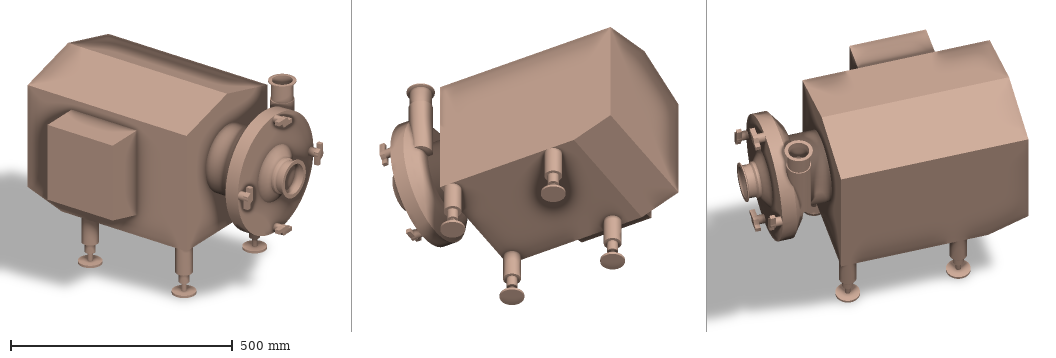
import cadquery as cq
import math


COVER_LENGTH = 440.0
COVER_WIDTH = 314.5
COVER_BOTTOM = 118.0
EAVES_HEIGHT = 410.0
RIDGE_HEIGHT = 451.5
REAR_CUT_LENGTH = 94.5
REAR_CUT_TOP = 152.5

BOX_START = 122.0
BOX_LENGTH = 180.0
BOX_DEPTH = 94.0
BOX_TOP = 383.5
BOX_FRONT_BOTTOM = 194.5
BOX_BACK_BOTTOM = 170.0

LEG_DIAMETER = 40.0
LEG_STEPS = [(55.5, 0), (12.0, 5.5), (25.0, 28.0), (LEG_DIAMETER, 52.5)]
REAR_LEG_X = 159.0
LEG_SPACING = 259.5

SHAFT_HEIGHT = 290.0
HOUSING_DIAMETER = 166.0
CASING_DIAMETER = 294.0
CASING_START = 512.0
CASING_RIM_START = 540.5
CASING_END = 574.0
CASING_BACK_RADIUS = 110.0
CASING_BLEND = 28.0
COVER_CONE_RADIUS = 68.0
COLLAR_DIAMETER = 84.5
COLLAR_START = 592.0
COLLAR_BEVEL_START = 598.5
COLLAR_END = 602.5

SUCTION_DIAMETER = 76.0
SUCTION_BORE = 72.5
SUCTION_FLANGE = 91.0
SUCTION_END = 625.5

DISCHARGE_X = 522.0
DISCHARGE_Y = 99.0
NOZZLE_DIAMETER = 55.0
NOZZLE_TOP = 423.5
DISCHARGE_DIAMETER = 50.5
DISCHARGE_BORE = 47.5
DISCHARGE_FLANGE = 64.0
DISCHARGE_TOP = 470.0

FLANGE_RIM = 2.5
FLANGE_TAPER = 2.5

STUD_COUNT = 4
STUD_CIRCLE_RADIUS = 136.5
STUD_DIAMETER = 21.0
STUD_LENGTH = 15.5
NUT_WIDTH = 12.0
WING_SPAN = 50.0
WING_THICKNESS = 10.0
ROOT_INNER_OVERLAP = 13.0
ROOT_OUTER_OVERLAP = 7.0


def make_motor_cover():
    profile = [
        (-COVER_WIDTH / 2, COVER_BOTTOM),
        (COVER_WIDTH / 2, COVER_BOTTOM),
        (COVER_WIDTH / 2, EAVES_HEIGHT),
        (0, RIDGE_HEIGHT),
        (-COVER_WIDTH / 2, EAVES_HEIGHT),
    ]
    cover = cq.Workplane("YZ").polyline(profile).close().extrude(COVER_LENGTH)
    rear_cut = (
        cq.Workplane("XZ")
        .polyline([(0, COVER_BOTTOM), (REAR_CUT_LENGTH, COVER_BOTTOM), (0, REAR_CUT_TOP)])
        .close()
        .extrude(COVER_WIDTH / 2, both=True)
    )
    return cover.cut(rear_cut)


def make_control_box():
    back = -COVER_WIDTH / 2
    front = back - BOX_DEPTH
    profile = [
        (back, BOX_BACK_BOTTOM),
        (front, BOX_FRONT_BOTTOM),
        (front, BOX_TOP),
        (back, BOX_TOP),
    ]
    return (
        cq.Workplane("YZ", origin=(BOX_START, 0, 0))
        .polyline(profile)
        .close()
        .extrude(BOX_LENGTH)
    )


def make_leg(x, y):
    leg = cq.Workplane("XY")
    tops = [bottom for _, bottom in LEG_STEPS[1:]] + [COVER_BOTTOM]
    for (diameter, bottom), top in zip(LEG_STEPS, tops):
        step = cq.Workplane("XY", origin=(x, y, bottom)).circle(diameter / 2).extrude(top - bottom)
        leg = leg.union(step)
    return leg


def make_pump_body():
    casing_radius = CASING_DIAMETER / 2
    slope_run = casing_radius - CASING_BACK_RADIUS
    slope_rise = CASING_RIM_START - CASING_START
    slope_length = math.hypot(slope_run, slope_rise)
    slope_angle = math.atan2(slope_rise, slope_run)
    tangent = CASING_BLEND * math.tan(slope_angle / 2)
    blend_start = (CASING_START, CASING_BACK_RADIUS - tangent)
    blend_end = (
        CASING_START + tangent * slope_rise / slope_length,
        CASING_BACK_RADIUS + tangent * slope_run / slope_length,
    )
    profile = (
        cq.Workplane("XY")
        .moveTo(COVER_LENGTH, 0)
        .lineTo(COVER_LENGTH, HOUSING_DIAMETER / 2)
        .lineTo(CASING_START, HOUSING_DIAMETER / 2)
        .lineTo(*blend_start)
        .tangentArcPoint(blend_end, relative=False)
        .lineTo(CASING_RIM_START, casing_radius)
        .lineTo(CASING_END, casing_radius)
        .lineTo(CASING_END, COVER_CONE_RADIUS)
        .lineTo(COLLAR_START, COLLAR_DIAMETER / 2)
        .lineTo(COLLAR_BEVEL_START, COLLAR_DIAMETER / 2)
        .lineTo(COLLAR_END, SUCTION_DIAMETER / 2)
        .lineTo(COLLAR_END, 0)
        .close()
    )
    return profile.revolve(360, (0, 0, 0), (1, 0, 0)).translate((0, 0, SHAFT_HEIGHT))


def make_flanged_pipe(length, diameter, bore, flange_diameter):
    """Open pipe along +Z from the origin, with its flange at the far end."""
    rim_start = length - FLANGE_RIM
    profile = [
        (bore / 2, 0),
        (diameter / 2, 0),
        (diameter / 2, rim_start - FLANGE_TAPER),
        (flange_diameter / 2, rim_start),
        (flange_diameter / 2, length),
        (bore / 2, length),
    ]
    return cq.Workplane("XZ").polyline(profile).close().revolve(360, (0, 0, 0), (0, 1, 0))


def make_suction_port():
    pipe = make_flanged_pipe(SUCTION_END - COLLAR_END, SUCTION_DIAMETER, SUCTION_BORE, SUCTION_FLANGE)
    return pipe.rotate((0, 0, 0), (0, 1, 0), 90).translate((COLLAR_END, 0, SHAFT_HEIGHT))


def make_discharge_port():
    nozzle = (
        cq.Workplane("XY", origin=(DISCHARGE_X, DISCHARGE_Y, SHAFT_HEIGHT))
        .circle(NOZZLE_DIAMETER / 2)
        .extrude(NOZZLE_TOP - SHAFT_HEIGHT)
    )
    pipe = make_flanged_pipe(
        DISCHARGE_TOP - NOZZLE_TOP, DISCHARGE_DIAMETER, DISCHARGE_BORE, DISCHARGE_FLANGE
    )
    return nozzle.union(pipe.translate((DISCHARGE_X, DISCHARGE_Y, NOZZLE_TOP)))


def make_wing_nut_stud(angle):
    """Stud on the casing front with two parallel wings on opposite sides of its middle."""
    stud = (
        cq.Workplane("YZ", origin=(CASING_END, 0, STUD_CIRCLE_RADIUS))
        .circle(STUD_DIAMETER / 2)
        .extrude(STUD_LENGTH + NUT_WIDTH)
    )
    nut_start = CASING_END + STUD_LENGTH
    wing_profile = [
        (WING_SPAN / 2, 0),
        (WING_SPAN / 2, WING_THICKNESS),
        (-ROOT_OUTER_OVERLAP, WING_THICKNESS),
        (-ROOT_INNER_OVERLAP, 0),
    ]
    for side in (1, -1):
        side_profile = [(-side * along, side * across) for along, across in wing_profile]
        wing = (
            cq.Workplane("YZ", origin=(nut_start, 0, STUD_CIRCLE_RADIUS))
            .polyline(side_profile)
            .close()
            .extrude(NUT_WIDTH)
        )
        stud = stud.union(wing)
    return stud.rotate((0, 0, 0), (1, 0, 0), angle).translate((0, 0, SHAFT_HEIGHT))


result = make_motor_cover().union(make_control_box())

leg_offset = (COVER_WIDTH - LEG_DIAMETER) / 2
for leg_x in (REAR_LEG_X, REAR_LEG_X + LEG_SPACING):
    for leg_y in (leg_offset, -leg_offset):
        result = result.union(make_leg(leg_x, leg_y))

result = result.union(make_pump_body())
result = result.union(make_suction_port())
result = result.union(make_discharge_port())
for index in range(STUD_COUNT):
    result = result.union(make_wing_nut_stud(index * 360 / STUD_COUNT))